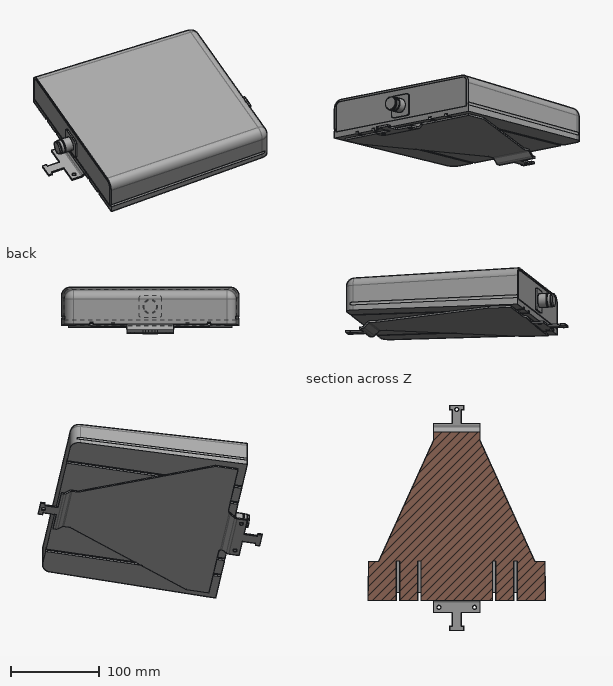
import cadquery as cq
import math

length = 200.1
front_width = 200.0
front_height = 43.3
side_draft = 1.0
bottom_tilt = 0.5
edge_radius = 10.0

groove_height = 3.3
groove_depth = 0.8
groove_z = 9.0

channel_width = 3.5
channel_depth = 2.5
outer_channel_x = 66.0
inner_channel_x = 42.0
inner_channel_end = 126.5

panel_width = 193.8
panel_bottom = 6.5
panel_top = 40.7
panel_proud = 0.8
panel_radius = 5.5

connector_z = 21.5
flange_width = 25.8
flange_height = 25.0
flange_front = 2.5
flange_radius = 3.5
barrel_diameter = 16.0
barrel_groove_diameter = 14.5
collar_diameter = 15.7
tip_diameter = 14.5
barrel_end = 11.6
barrel_groove_middle = 12.5
barrel_groove_end = 13.2
collar_end = 16.5
taper_end = 17.5
tip_end = 19.2

sheet = 2.0
drop = 6.8
bend_radius = 2.0
bracket_front = -33.7
bracket_back = bracket_front + 253
front_bend = -0.8
back_bend = 195.5
plate_width = 184.2
plate_front = 9.0
taper_start = 35.0
taper_stop = 180.0
relief_radius = 5.0
tab_width = 52.5
front_tab_end = -13.5
back_tab_end = 199.0
strip_width = 10.5
head_width = 16.2
head_length = 5.0
hole_diameter = 4.3
front_hole_spacing = 40.0
front_hole_y = -7.5
back_hole_inset = 4.5


def tilt(body):
    """Raise the back of a body to follow the underside of the housing."""
    return body.rotate((0, 0, 0), (1, 0, 0), bottom_tilt)


def make_shell():
    """Tapered block with rounded top, side and back edges."""
    draft_drop = length * math.tan(math.radians(side_draft))
    back_bottom = length * math.tan(math.radians(bottom_tilt))
    back_top = front_height - draft_drop
    half_front = front_width / 2
    half_back = half_front - draft_drop
    side_shape = (
        cq.Workplane("YZ")
        .polyline([(0, 0), (length, back_bottom), (length, back_top), (0, front_height)])
        .close()
        .extrude(half_front, both=True)
    )
    plan_shape = (
        cq.Workplane("XY")
        .polyline([(-half_front, 0), (half_front, 0), (half_back, length), (-half_back, length)])
        .close()
        .extrude(front_height)
    )
    block = side_shape.intersect(plan_shape)
    top_edges = block.faces(">Z").edges("not <Y")
    back_corners = block.faces(">Y").edges("|Z")
    return top_edges.add(back_corners).fillet(edge_radius)


def make_side_groove():
    """Round cutter for the right-hand side groove, parallel to the drafted wall."""
    half_height = groove_height / 2
    radius = (half_height**2 + groove_depth**2) / (2 * groove_depth)
    centre_x = front_width / 2 - groove_depth + radius
    cutter = (
        cq.Workplane("XZ", origin=(0, -length, 0))
        .center(centre_x, groove_z)
        .circle(radius)
        .extrude(-3 * length)
    )
    rim_side = front_width / 2
    return cutter.rotate((rim_side, 0, 0), (rim_side, 0, 1), side_draft)


def make_channels():
    """Cutters for the channels open at the front: the outer pair runs through, the inner pair is blind."""
    channels = cq.Workplane("XY")
    for place, end in ((outer_channel_x, 2 * length), (inner_channel_x, inner_channel_end)):
        for side in (-1, 1):
            bar = (
                cq.Workplane("XY", origin=(side * place, 0, 0))
                .rect(channel_width, 2 * end)
                .extrude(channel_depth, both=True)
            )
            channels = channels.add(bar)
    return tilt(channels.combine())


def make_panel():
    height = panel_top - panel_bottom
    return (
        cq.Workplane("XY")
        .box(panel_width, 2 * panel_proud, height)
        .edges("|Y and >Z")
        .fillet(panel_radius)
        .translate((0, 0, panel_bottom + height / 2))
    )


def make_connector():
    flange = (
        cq.Workplane("XY")
        .box(flange_width, 2 * flange_front, flange_height)
        .edges("|Y")
        .fillet(flange_radius)
    )
    barrel_radius = barrel_diameter / 2
    groove_radius = barrel_groove_diameter / 2
    collar_radius = collar_diameter / 2
    tip_radius = tip_diameter / 2
    outline = [
        (0, 0),
        (barrel_radius, 0),
        (barrel_radius, -barrel_end),
        (groove_radius, -barrel_groove_middle),
        (collar_radius, -barrel_groove_end),
        (collar_radius, -collar_end),
        (tip_radius, -taper_end),
        (tip_radius, -tip_end),
        (0, -tip_end),
    ]
    barrel = cq.Workplane("XY").polyline(outline).close().revolve(360, (0, 0, 0), (0, 1, 0))
    return flange.union(barrel).translate((0, 0, connector_z))


def make_bent_sheet():
    """Sheet as wide as the plate, bent down at 45 degrees at both ends and levelled again."""
    top = [
        (bracket_front, -drop),
        (front_bend, -drop),
        (front_bend + drop, 0),
        (back_bend - drop, 0),
        (back_bend, -drop),
        (bracket_back, -drop),
    ]
    shift = sheet * math.tan(math.radians(22.5))
    inward = [0, shift, shift, -shift, -shift, 0]
    bottom = [(y + move, z - sheet) for (y, z), move in zip(top, inward)]
    strip = (
        cq.Workplane("YZ")
        .polyline(top + bottom[::-1])
        .close()
        .extrude(plate_width / 2, both=True)
    )
    inside = [top[1], bottom[2], bottom[3], top[4]]
    outside = [bottom[1], top[2], top[3], bottom[4]]
    for corners, radius in ((inside, bend_radius), (outside, bend_radius + sheet)):
        for y, z in corners:
            strip = strip.edges(cq.NearestToPointSelector((0, y, z))).fillet(radius)
    return strip


def make_bracket_outline():
    """Plan of the bracket: wide front plate tapering back, a tab and a T head at each end."""
    half_plate = plate_width / 2
    half_tab = tab_width / 2
    half_strip = strip_width / 2
    half_head = head_width / 2
    relief_end = plate_front - relief_radius
    relief_middle = relief_radius * (1 - math.sqrt(0.5))
    half = (
        cq.Workplane("XY")
        .moveTo(0, bracket_front)
        .lineTo(half_head, bracket_front)
        .lineTo(half_head, bracket_front + head_length)
        .lineTo(half_strip, bracket_front + head_length)
        .lineTo(half_strip, front_tab_end)
        .lineTo(half_tab, front_tab_end)
        .lineTo(half_tab, relief_end)
        .threePointArc(
            (half_tab + relief_middle, plate_front - relief_middle),
            (half_tab + relief_radius, plate_front),
        )
        .lineTo(half_plate, plate_front)
        .lineTo(half_plate, taper_start)
        .lineTo(half_tab, taper_stop)
        .lineTo(half_tab, back_tab_end)
        .lineTo(half_strip, back_tab_end)
        .lineTo(half_strip, bracket_back - head_length)
        .lineTo(half_head, bracket_back - head_length)
        .lineTo(half_head, bracket_back)
        .lineTo(0, bracket_back)
        .close()
        .extrude(2 * drop, both=True)
    )
    return half.union(half.mirror("YZ"))


def make_bracket():
    half_spacing = front_hole_spacing / 2
    holes = (
        cq.Workplane("XY")
        .pushPoints(
            [
                (-half_spacing, front_hole_y),
                (half_spacing, front_hole_y),
                (0, bracket_back - back_hole_inset),
            ]
        )
        .circle(hole_diameter / 2)
        .extrude(-2 * drop)
    )
    return tilt(make_bent_sheet().intersect(make_bracket_outline()).cut(holes))


side_groove = make_side_groove()
housing = (
    make_shell()
    .cut(side_groove)
    .cut(side_groove.mirror("YZ"))
    .cut(make_channels())
)
result = housing.union(make_panel()).union(make_connector()).union(make_bracket())